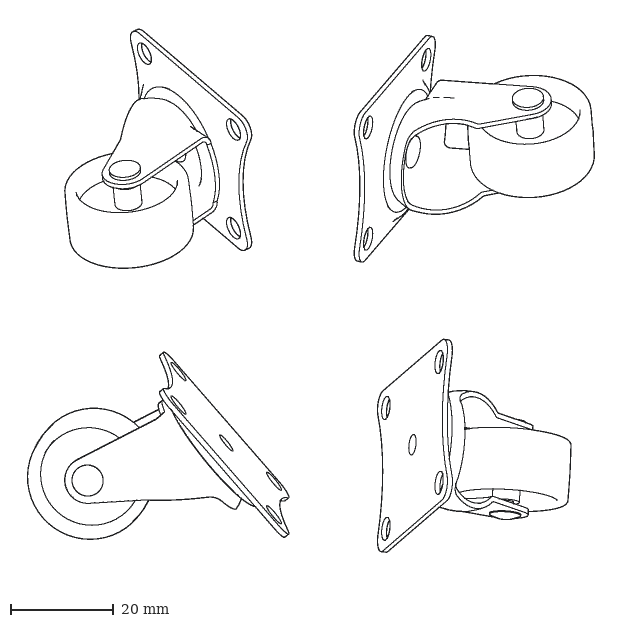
import cadquery as cq
import math

SWIVEL_ANGLE = 8.6

PLATE_LENGTH = 38.0
PLATE_HEIGHT = 33.0
PLATE_THICKNESS = 1.05
PLATE_CORNER_RADIUS = 3.0
PLATE_WAIST = 32.4
PLATE_CENTER_Z = -0.15
MOUNT_HOLE_DIAMETER = 4.5
MOUNT_HOLE_SPACING_X = 28.9
MOUNT_HOLE_SPACING_Z = 24.9
CUP_FOOT_RADIUS = 15.35
CUP_FOOT_FILLET = 0.5
CUP_CREST_RADIUS = 13.25
CUP_CREST_FILLET = 1.3
CUP_DEPTH = 3.3
RACE_OUTER_RADIUS = 12.2
SEAT_RADIUS = 6.0
RACE_FLOOR_RADIUS = (RACE_OUTER_RADIUS + SEAT_RADIUS) / 2
RACE_FLOOR_DEPTH = 1.3

SHEET = 1.0
DOME_RADIUS = 11.8
DOME_CENTER_DEPTH = 10.35
DOME_TOP_DEPTH = 3.2
DOME_INNER_FILLET = 1.0
DOME_OUTER_FILLET = DOME_INNER_FILLET + SHEET
LEG_INNER_HALF = 7.8
LEG_OUTER_HALF = LEG_INNER_HALF + SHEET
TAB_TOP_DEPTH = 4.3
TAB_RADIUS = 14.3
BEND_INNER_RADIUS = 1.0
BEND_OUTER_RADIUS = BEND_INNER_RADIUS + SHEET
LEG_DOME_FILLET = 0.75
LEG_END_RADIUS = 4.5
LEG_FRONT = 12.65
DOME_RIM_DEPTH = 6.65
REAR_CORNER = -6.3
REAR_CORNER_FILLET = 3.0
CHANNEL_REAR = -4.0
CHANNEL_LENGTH = 30.0
CHANNEL_HEIGHT = 30.0

RIVET_SHANK_RADIUS = 2.0
RIVET_HEAD_RADIUS = 3.2
RIVET_HEAD_HEIGHT = 0.5
RIVET_HEAD_FILLET = 0.35

AXLE_OFFSET = 11.8
AXLE_DEPTH = 24.3
WHEEL_RADIUS = 12.2
WHEEL_HALF_WIDTH = 6.0
WHEEL_DRAFT = 1.1
WHEEL_EDGE_FILLET = 0.6
WHEEL_RECESS_RADIUS = 9.9
WHEEL_RECESS_FILLET = 0.5
WEB_HALF_THICKNESS = 1.5
HUB_RADIUS = 2.65
HUB_HALF_LENGTH = 6.4
AXLE_RADIUS = 1.5
AXLE_HEAD_RADIUS = 3.05
AXLE_HEAD_HEIGHT = 0.7
AXLE_DOME_RIM = 0.2
AXLE_DOME_HEIGHT = 1.05


def swivelled(body):
    return body.rotate((0, 0, 0), (0, 1, 0), -SWIVEL_ANGLE)


def y_cylinder(radius, top_depth, bottom_depth):
    """Cylinder on the swivel axis between two depths."""
    return (
        cq.Workplane("XZ", origin=(0, -top_depth, 0))
        .circle(radius)
        .extrude(bottom_depth - top_depth)
    )


def circle_edges(body, radius, depth):
    """Circular edges of the given radius centred on the swivel axis at the given depth."""
    def matches(edge):
        return (
            edge.geomType() == "CIRCLE"
            and abs(edge.radius() - radius) < 1e-3
            and abs(edge.arcCenter().y + depth) < 1e-3
        )

    return body.edges().filter(matches)


def plate_blank():
    """Flat plate with rounded corners and concave short sides."""
    corner_x = PLATE_LENGTH / 2 - PLATE_CORNER_RADIUS
    corner_z = PLATE_HEIGHT / 2 - PLATE_CORNER_RADIUS
    waist_x = PLATE_WAIST / 2
    gap = corner_x - waist_x
    side_rise = gap**2 + corner_z**2 - PLATE_CORNER_RADIUS**2
    side_radius = side_rise / (2 * (gap + PLATE_CORNER_RADIUS))
    side_angle = math.asin(corner_z / (side_radius + PLATE_CORNER_RADIUS))
    join_x = corner_x + PLATE_CORNER_RADIUS * math.cos(side_angle)
    join_z = corner_z - PLATE_CORNER_RADIUS * math.sin(side_angle)
    mid_angle = (math.pi / 2 - side_angle) / 2
    mid_x = corner_x + PLATE_CORNER_RADIUS * math.cos(mid_angle)
    mid_z = corner_z + PLATE_CORNER_RADIUS * math.sin(mid_angle)
    edge_z = PLATE_HEIGHT / 2
    return (
        cq.Workplane("XZ", origin=(0, 0, PLATE_CENTER_Z))
        .moveTo(-corner_x, edge_z)
        .lineTo(corner_x, edge_z)
        .threePointArc((mid_x, mid_z), (join_x, join_z))
        .threePointArc((waist_x, 0), (join_x, -join_z))
        .threePointArc((mid_x, -mid_z), (corner_x, -edge_z))
        .lineTo(-corner_x, -edge_z)
        .threePointArc((-mid_x, -mid_z), (-join_x, -join_z))
        .threePointArc((-waist_x, 0), (-join_x, join_z))
        .threePointArc((-mid_x, mid_z), (-corner_x, edge_z))
        .close()
        .extrude(PLATE_THICKNESS)
    )


def plate_cup():
    """Conical cup with a ball-race groove around the seat of the fork."""
    return (
        cq.Workplane("XY")
        .lineTo(CUP_FOOT_RADIUS, 0)
        .lineTo(CUP_FOOT_RADIUS, -PLATE_THICKNESS)
        .lineTo(CUP_CREST_RADIUS, -CUP_DEPTH)
        .lineTo(RACE_OUTER_RADIUS, -CUP_DEPTH)
        .threePointArc((RACE_FLOOR_RADIUS, -RACE_FLOOR_DEPTH), (SEAT_RADIUS, -DOME_TOP_DEPTH))
        .lineTo(0, -DOME_TOP_DEPTH)
        .close()
        .revolve(360, (0, 0, 0), (0, 1, 0))
    )


def make_plate():
    plate = plate_blank().union(plate_cup())
    plate = circle_edges(plate, CUP_FOOT_RADIUS, PLATE_THICKNESS).fillet(CUP_FOOT_FILLET)
    plate = circle_edges(plate, CUP_CREST_RADIUS, CUP_DEPTH).fillet(CUP_CREST_FILLET)
    mount_holes = (
        cq.Workplane("XZ", origin=(0, 0, PLATE_CENTER_Z))
        .rarray(MOUNT_HOLE_SPACING_X, MOUNT_HOLE_SPACING_Z, 2, 2)
        .circle(MOUNT_HOLE_DIAMETER / 2)
        .extrude(PLATE_THICKNESS)
    )
    return plate.cut(mount_holes).cut(y_cylinder(RIVET_SHANK_RADIUS, 0, DOME_TOP_DEPTH))


def dome(radius, top_depth, fillet):
    """Ball with a flat top whose edge is rounded tangent to the flat and the ball.

    The outline is turned on the rear side, so the seam stays away from the legs.
    """
    fillet_y = -top_depth - fillet
    flat_radius = math.sqrt((radius - fillet) ** 2 - (fillet_y + DOME_CENTER_DEPTH) ** 2)
    slope = math.atan2(fillet_y + DOME_CENTER_DEPTH, flat_radius)
    mid_slope = (slope + math.pi / 2) / 2
    fillet_mid = (-flat_radius - fillet * math.cos(mid_slope), fillet_y + fillet * math.sin(mid_slope))
    fillet_end = (-radius * math.cos(slope), radius * math.sin(slope) - DOME_CENTER_DEPTH)
    return (
        cq.Workplane("XY")
        .moveTo(0, -top_depth)
        .lineTo(-flat_radius, -top_depth)
        .threePointArc(fillet_mid, fillet_end)
        .threePointArc((-radius, -DOME_CENTER_DEPTH), (0, -DOME_CENTER_DEPTH - radius))
        .close()
        .revolve(360, (0, 0, 0), (0, 1, 0))
    )


def channel(half_width, top_depth, bend_radius):
    """Long block with two rounded upper edges: one skin of the U formed by the legs."""
    return (
        cq.Workplane("XY")
        .box(CHANNEL_LENGTH, CHANNEL_HEIGHT, 2 * half_width, centered=(False, False, True))
        .translate((CHANNEL_REAR, -top_depth - CHANNEL_HEIGHT, 0))
        .edges("|X and >Y")
        .fillet(bend_radius)
    )


def tangent_point(start, side):
    """Point where a line from start touches the rounded leg end, on the +1 or -1 side."""
    dx = start[0] - AXLE_OFFSET
    dy = start[1] + AXLE_DEPTH
    angle = math.atan2(dy, dx) + side * math.acos(LEG_END_RADIUS / math.hypot(dx, dy))
    return (
        AXLE_OFFSET + LEG_END_RADIUS * math.cos(angle),
        -AXLE_DEPTH + LEG_END_RADIUS * math.sin(angle),
    )


def fork_side_profile():
    """Side outline that trims the dome and both legs."""
    rear_corner = (REAR_CORNER, -DOME_RIM_DEPTH)
    front_corner = (LEG_FRONT, -TAB_TOP_DEPTH - BEND_OUTER_RADIUS)
    profile = (
        cq.Workplane("XY", origin=(0, 0, -DOME_RADIUS))
        .moveTo(-DOME_RADIUS, 0)
        .lineTo(-DOME_RADIUS, -DOME_RIM_DEPTH)
        .lineTo(*rear_corner)
        .lineTo(*tangent_point(rear_corner, 1))
        .threePointArc((AXLE_OFFSET, -AXLE_DEPTH - LEG_END_RADIUS), tangent_point(front_corner, -1))
        .lineTo(*front_corner)
        .lineTo(LEG_FRONT, 0)
        .close()
        .extrude(2 * DOME_RADIUS)
    )
    corner = cq.selectors.NearestToPointSelector((*rear_corner, 0))
    return profile.edges("|Z").edges(corner).fillet(REAR_CORNER_FILLET)


def fork_tab():
    """Front end of the fork's roof, rounded about the swivel axis."""
    width = 2 * (LEG_OUTER_HALF - BEND_OUTER_RADIUS)
    strip = (
        cq.Workplane("XY")
        .box(TAB_RADIUS, SHEET, width, centered=(False, False, True))
        .translate((0, -TAB_TOP_DEPTH - SHEET, 0))
    )
    return strip.intersect(y_cylinder(TAB_RADIUS, TAB_TOP_DEPTH, TAB_TOP_DEPTH + SHEET))


def leg_dome_edges(skin, ball_radius):
    """Open edges on the front of the ball, where the legs and the roof run into it."""
    ball_center = cq.Vector(0, -DOME_CENTER_DEPTH, 0)

    def matches(edge):
        middle = edge.positionAt(0.5)
        on_ball = abs((middle - ball_center).Length - ball_radius) < 0.02
        return on_ball and middle.x > 0 and not edge.IsClosed()

    return skin.edges().filter(matches)


def fork_skin(inset, bend_radius, dome_fillet):
    """Dome blended into the U of the legs, lying the given inset inside the fork's outer surface."""
    ball_radius = DOME_RADIUS - inset
    ball = dome(ball_radius, DOME_TOP_DEPTH + inset, dome_fillet)
    legs = channel(LEG_OUTER_HALF - inset, TAB_TOP_DEPTH + inset, bend_radius)
    return leg_dome_edges(ball.union(legs), ball_radius).fillet(LEG_DOME_FILLET)


def make_fork():
    outer_skin = fork_skin(0, BEND_OUTER_RADIUS, DOME_OUTER_FILLET)
    inner_skin = fork_skin(SHEET, BEND_INNER_RADIUS, DOME_INNER_FILLET)
    fork = outer_skin.intersect(fork_side_profile()).union(fork_tab())
    fork = fork.cut(inner_skin)
    axle_hole = axle_cylinder(AXLE_RADIUS, -LEG_OUTER_HALF, LEG_OUTER_HALF)
    rivet_hole = y_cylinder(RIVET_SHANK_RADIUS, DOME_TOP_DEPTH, DOME_TOP_DEPTH + SHEET)
    return swivelled(fork.cut(axle_hole).cut(rivet_hole))


def make_rivet():
    head_top = DOME_TOP_DEPTH + SHEET
    head = y_cylinder(RIVET_HEAD_RADIUS, head_top, head_top + RIVET_HEAD_HEIGHT)
    head = head.faces("<Y").edges().fillet(RIVET_HEAD_FILLET)
    return head.union(y_cylinder(RIVET_SHANK_RADIUS, 0, head_top))


def axle_cylinder(radius, start, end):
    """Cylinder on the wheel axis between two Z positions."""
    return (
        cq.Workplane("XY", origin=(AXLE_OFFSET, -AXLE_DEPTH, start))
        .circle(radius)
        .extrude(end - start)
    )


def wheel_half():
    """Half of the wheel on the +Z side of its middle plane."""
    tread = (
        cq.Workplane("XY", origin=(AXLE_OFFSET, -AXLE_DEPTH, 0))
        .circle(WHEEL_RADIUS)
        .extrude(WHEEL_HALF_WIDTH, taper=WHEEL_DRAFT)
        .faces(">Z")
        .edges()
        .fillet(WHEEL_EDGE_FILLET)
    )
    recess = axle_cylinder(WHEEL_RECESS_RADIUS, WEB_HALF_THICKNESS, WHEEL_HALF_WIDTH)
    half = tread.cut(recess)
    recess_rim = cq.selectors.RadiusNthSelector(0)
    half = half.faces(">Z").edges(recess_rim).fillet(WHEEL_RECESS_FILLET)
    return half.union(axle_cylinder(HUB_RADIUS, 0, HUB_HALF_LENGTH))


def make_wheel():
    half = wheel_half()
    wheel = half.union(half.mirror("XY"))
    bore = axle_cylinder(AXLE_RADIUS, -HUB_HALF_LENGTH, HUB_HALF_LENGTH)
    return swivelled(wheel.cut(bore))


def make_axle():
    shank = axle_cylinder(AXLE_RADIUS, -LEG_OUTER_HALF, LEG_OUTER_HALF)
    flat_head = axle_cylinder(AXLE_HEAD_RADIUS, LEG_OUTER_HALF, LEG_OUTER_HALF + AXLE_HEAD_HEIGHT)
    cap_height = AXLE_DOME_HEIGHT - AXLE_DOME_RIM
    cap_radius = (AXLE_HEAD_RADIUS**2 + cap_height**2) / (2 * cap_height)
    domed_end = -LEG_OUTER_HALF - AXLE_DOME_HEIGHT
    ball = cq.Workplane("XY", origin=(AXLE_OFFSET, -AXLE_DEPTH, domed_end + cap_radius)).sphere(cap_radius)
    domed_head = axle_cylinder(AXLE_HEAD_RADIUS, domed_end, -LEG_OUTER_HALF).intersect(ball)
    return swivelled(shank.union(flat_head).union(domed_head))


plate = make_plate()
fork = make_fork()
rivet = make_rivet()
wheel = make_wheel()
axle = make_axle()

result = cq.Compound.makeCompound([plate.val(), fork.val(), rivet.val(), wheel.val(), axle.val()])